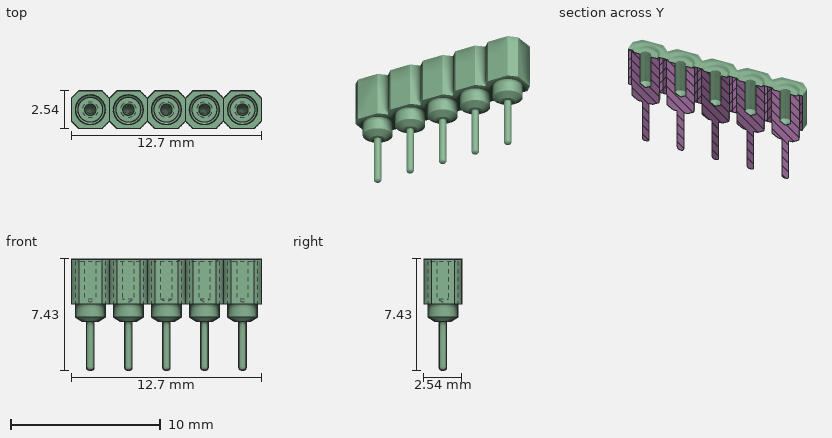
import cadquery as cq
import math

contact_count = 5
pitch = 2.54

block_height = 3.0
block_corner_cut = 0.5

barrel_radius = 1.0
collar_drop = 0.88
shoulder_drop = 0.30
shoulder_end_radius = 0.52

dish_rim_width = 0.02
dish_floor_radius = 0.83
dish_depth = barrel_radius - dish_rim_width - dish_floor_radius
bore_radius = 0.38
bore_depth = 2.5
bore_tip_angle = 118

tail_radius = 0.255
tail_reach = 4.43
tail_tip_rounding = 0.2


def make_block():
    """Square block with cut vertical corners and a through hole for the contact."""
    return (
        cq.Workplane("XY")
        .rect(pitch, pitch)
        .extrude(block_height)
        .edges("|Z")
        .chamfer(block_corner_cut)
        .faces(">Z")
        .workplane()
        .hole(2 * barrel_radius)
    )


def make_contact():
    """Turned contact: dished top, blind socket bore, shoulder and round-ended tail."""
    dish_floor = block_height - dish_depth
    bore_bottom = dish_floor - bore_depth
    bore_tip = bore_bottom - bore_radius / math.tan(math.radians(bore_tip_angle / 2))
    shoulder_bottom = -(collar_drop + shoulder_drop)

    barrel = (
        cq.Workplane("XZ")
        .moveTo(0, bore_tip)
        .lineTo(bore_radius, bore_bottom)
        .lineTo(bore_radius, dish_floor)
        .lineTo(dish_floor_radius, dish_floor)
        .lineTo(barrel_radius - dish_rim_width, block_height)
        .lineTo(barrel_radius, block_height)
        .lineTo(barrel_radius, -collar_drop)
        .lineTo(shoulder_end_radius, shoulder_bottom)
        .lineTo(0, shoulder_bottom)
        .close()
        .revolve(360, (0, 0), (0, 1))
    )
    tail = (
        cq.Workplane("XY", origin=(0, 0, shoulder_bottom))
        .circle(tail_radius)
        .extrude(-(tail_reach + shoulder_bottom))
        .faces("<Z")
        .edges()
        .fillet(tail_tip_rounding)
    )
    return barrel.union(tail)


block = make_block()
contact = make_contact()

bodies = []
for index in range(contact_count):
    offset = cq.Vector((index - (contact_count - 1) / 2) * pitch, 0, 0)
    bodies.append(block.val().translate(offset))
    bodies.append(contact.val().translate(offset))

result = cq.Compound.makeCompound(bodies)